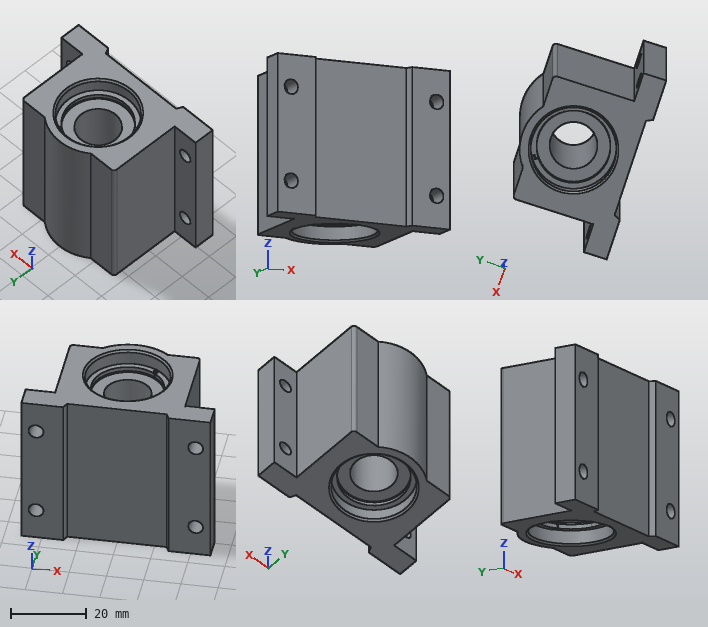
import cadquery as cq
import math

LENGTH = 42.9
BASE_WIDTH = 50.8
BASE_THICKNESS = 6.35
BLOCK_WIDTH = 34.95
BLOCK_HEIGHT = 28.75
BLOCK_CORNER_RADIUS = 1.0
AXIS_HEIGHT = 17.55
CROWN_RADIUS = 14.2
MOUNTING_FACE_Y = -AXIS_HEIGHT

CHANNEL_DEPTH = 1.75
CHANNEL_MOUTH_WIDTH = 28.35
CHANNEL_FLOOR_WIDTH = 26.7

HOLE_DIAMETER = 3.95
HOLE_SPACING_X = 42.9
HOLE_SPACING_Z = 25.4

BORE_RADIUS = 11.35
BORE_CHAMFER = 0.55

BEARING_LENGTH = 32.1
SHAFT_RADIUS = 6.3
END_RECESS_DEPTH = 0.45

RING_THICKNESS = 1.2
RING_INNER_RADIUS = 9.75
RING_OUTER_RADIUS = 12.05
END_RECESS_RADIUS = RING_INNER_RADIUS

JOINT_GAP = 0.2
JOINT_STEP_RADIUS = 10.65
JOINT_INNER_ANGLE = 54.0
JOINT_OUTER_ANGLE = 59.0

RING_CENTER_Z = (BEARING_LENGTH + RING_THICKNESS) / 2


def cylinder(radius, length, center_z=0.0):
    """Cylinder on the shaft axis, centred at center_z."""
    return cq.Workplane("XY").workplane(offset=center_z - length / 2).circle(radius).extrude(length)


def make_housing_body():
    block_center_y = MOUNTING_FACE_Y + BLOCK_HEIGHT / 2
    block = (
        cq.Workplane("XY")
        .box(BLOCK_WIDTH, BLOCK_HEIGHT, LENGTH)
        .edges("|Z and >Y")
        .fillet(BLOCK_CORNER_RADIUS)
        .translate((0, block_center_y, 0))
    )
    base_center_y = MOUNTING_FACE_Y + BASE_THICKNESS / 2
    base = cq.Workplane("XY").box(BASE_WIDTH, BASE_THICKNESS, LENGTH).translate((0, base_center_y, 0))
    return block.union(base).union(cylinder(CROWN_RADIUS, LENGTH))


def make_channel():
    floor_y = MOUNTING_FACE_Y + CHANNEL_DEPTH
    return (
        cq.Workplane("XY")
        .polyline([
            (-CHANNEL_MOUTH_WIDTH / 2, MOUNTING_FACE_Y),
            (CHANNEL_MOUTH_WIDTH / 2, MOUNTING_FACE_Y),
            (CHANNEL_FLOOR_WIDTH / 2, floor_y),
            (-CHANNEL_FLOOR_WIDTH / 2, floor_y),
        ])
        .close()
        .extrude(LENGTH / 2, both=True)
    )


def make_mounting_holes():
    return (
        cq.Workplane("XZ", origin=(0, MOUNTING_FACE_Y, 0))
        .rarray(HOLE_SPACING_X, HOLE_SPACING_Z, 2, 2)
        .circle(HOLE_DIAMETER / 2)
        .extrude(-BASE_THICKNESS)
    )


def make_bore():
    """Through bore that flares into a chamfer at both ends."""
    rim_radius = BORE_RADIUS + BORE_CHAMFER
    end_z = LENGTH / 2
    straight_z = end_z - BORE_CHAMFER
    return (
        cq.Workplane("XZ")
        .polyline([
            (0, -end_z),
            (rim_radius, -end_z),
            (BORE_RADIUS, -straight_z),
            (BORE_RADIUS, straight_z),
            (rim_radius, end_z),
            (0, end_z),
        ])
        .close()
        .revolve(360, (0, 0, 0), (0, 1, 0))
    )


def make_housing():
    housing = make_housing_body().cut(make_channel()).cut(make_mounting_holes()).cut(make_bore())
    for side in (-1, 1):
        housing = housing.cut(cylinder(RING_OUTER_RADIUS, RING_THICKNESS, side * RING_CENTER_Z))
    return housing


def make_bearing():
    bearing = cylinder(BORE_RADIUS, BEARING_LENGTH).cut(cylinder(SHAFT_RADIUS, BEARING_LENGTH))
    recess_center_z = (BEARING_LENGTH - END_RECESS_DEPTH) / 2
    for side in (-1, 1):
        bearing = bearing.cut(cylinder(END_RECESS_RADIUS, END_RECESS_DEPTH, side * recess_center_z))
    return bearing


def radial_slit(inner_radius, outer_radius, angle):
    """Narrow slit across the ring, running outward at the given angle."""
    radial_length = outer_radius - inner_radius
    return (
        cq.Workplane("XY")
        .box(radial_length, JOINT_GAP, RING_THICKNESS)
        .translate((inner_radius + radial_length / 2, 0, 0))
        .rotate((0, 0, 0), (0, 0, 1), angle)
    )


def make_step_slit():
    """Arc-shaped slit joining the two radial slits at the step radius."""
    middle_angle = (JOINT_INNER_ANGLE + JOINT_OUTER_ANGLE) / 2

    def point(radius, angle):
        turn = math.radians(angle)
        return (radius * math.cos(turn), radius * math.sin(turn))

    inner = JOINT_STEP_RADIUS - JOINT_GAP / 2
    outer = JOINT_STEP_RADIUS + JOINT_GAP / 2
    return (
        cq.Workplane("XY")
        .moveTo(*point(inner, JOINT_INNER_ANGLE))
        .threePointArc(point(inner, middle_angle), point(inner, JOINT_OUTER_ANGLE))
        .lineTo(*point(outer, JOINT_OUTER_ANGLE))
        .threePointArc(point(outer, middle_angle), point(outer, JOINT_INNER_ANGLE))
        .close()
        .extrude(RING_THICKNESS / 2, both=True)
    )


def make_retaining_ring(center_z):
    ring = cylinder(RING_OUTER_RADIUS, RING_THICKNESS).cut(cylinder(RING_INNER_RADIUS, RING_THICKNESS))
    inner_slit = radial_slit(0, JOINT_STEP_RADIUS + JOINT_GAP / 2, JOINT_INNER_ANGLE)
    outer_slit = radial_slit(JOINT_STEP_RADIUS - JOINT_GAP / 2, CROWN_RADIUS, JOINT_OUTER_ANGLE)
    ring = ring.cut(inner_slit).cut(outer_slit).cut(make_step_slit())
    return ring.translate((0, 0, center_z))


housing = make_housing()
bearing = make_bearing()
retaining_rings = [make_retaining_ring(side * RING_CENTER_Z) for side in (-1, 1)]

result = cq.Compound.makeCompound([
    housing.val(),
    bearing.val(),
    *[ring.val() for ring in retaining_rings],
])